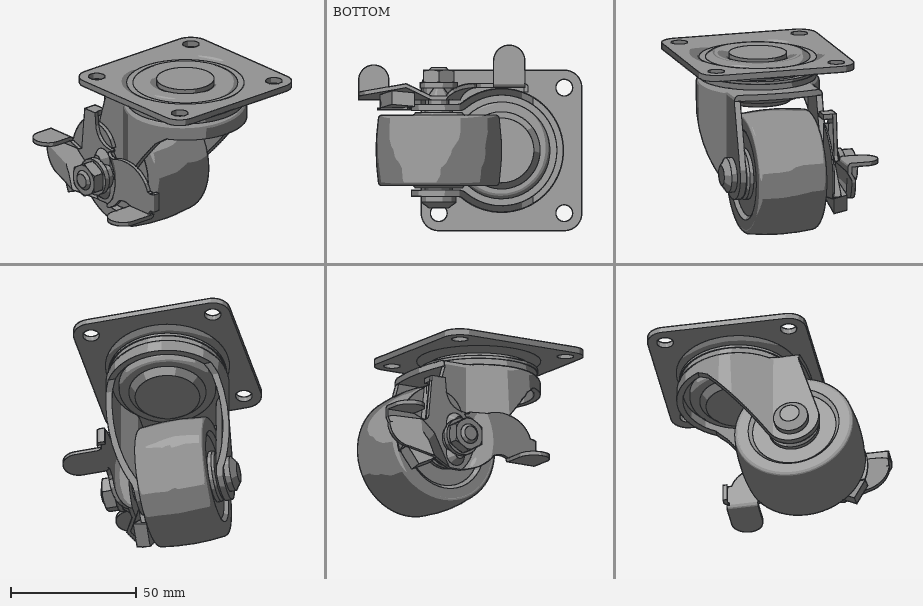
import cadquery as cq
import math


plate_size = 64.1
plate_thick = 2.5
plate_corner_r = 7.0
bolt_spacing = 50.0
bolt_hole_d = 6.6
dish_outer_r = 27.2
dish_floor_r = 23.4
dish_depth = 1.7
hump_foot_r = 20.9
hump_crest_outer_r = 17.2
hump_crest_inner_r = 15.9
hump_top_z = -0.3
kingpin_r = 11.5
kingpin_groove_z = -2.2
groove_bulge = (13.5, -0.8)
hump_bulge = (19.8, -0.7)
dish_bulge = (24.9, -0.5)
dish_underside_bulge = (22.9, -3.7)
upper_race_r = 21.4
upper_race_neck_r = 20.0
upper_race_neck_z = -4.3
upper_race_edge_z = -5.6
lower_race_r = 19.3
lower_race_bottom_z = -16.6
lower_race_round_r = 2.1
kingpin_foot_r = 15.4
kingpin_end_r = 12.9
kingpin_end_z = -19.3

wheel_r = 25.0
overall_height = 68.0
axle_x = -25.0
axle_z = wheel_r - overall_height
tread_edge_r = 24.1
tread_half_width = 12.8
wheel_half_width = 14.02
rim_r = 22.5
web_recess_outer_r = 18.4
web_recess_inner_r = 16.9
web_recess_depth = 1.5
hub_r = 10.2
hub_chamfer = 1.0
hub_half_width = 15.0
bushing_r = 5.5
axle_r = 4.0
axle_end_y = -33.1
axle_end_chamfer = 1.2
head_r = 6.9
head_rim = 2.3
head_cone = 2.2
head_end_r = 3.9

leg_inner_y = 15.8
sheet = 2.5
leg_outer_y = leg_inner_y + sheet
fork_top_z = -9.8
skirt_r = 24.6
skirt_bottom_z = -16.3
skirt_blend_r = 4.0
shoulder_r = 2.1
drum_r = 23.2
drum_rim_r = 23.6
drum_rim_bottom_z = -7.4
drum_top_z = -6.2
fork_nose_x = -29.9
fork_nose_corner_x = -27.7
leg_end_r = 10.95
leg_end_z = -42.0
leg_slant_x = 8.3
leg_slant_z = -19.1
skirt_cut_x = 12.5

lever_thick = 1.6
lever_back_y = -20.1
bend_r = 1.5
lever_left_x = plate_size / 2 - 89
raised_back_y = -25.0
joggle_x = -32.0
joggle_inner_r = 15.7
joggle_mid_r = 18.0
joggle_mid_y = -23.4
joggle_outer_r = 22.0
joggle_reach = 44.5
joggle_start_x = -29.4
flat_corner_x = -19.6
flat_corner_z = -32.0
release_pedal_left_x = -3.2
release_pedal_width = 12.55
release_pedal_top_z = -48.7
release_pedal_end_y = plate_size / 2 - 74.0
brake_pedal_width = 12.1
brake_pedal_top_z = -33.55
brake_pedal_end_y = -34.1
hook_left_x = -36.0
hook_right_x = -30.35
hook_top_z = -18.2
hook_end_y = -16.2
stop_left_x = 9.0
stop_top_z = -39.8
stop_bottom_z = -47.2
stop_depth = 3.4
boss_length = 21.5
boss_width = 8.4
boss_taper = 35
boss_height = 3.1
boss_core_r = 6.2
bulge_taper = 58
bulge_face_x = -41.6
bulge_face_y = -26.0
bulge_turn = 10
bulge_round_r = 4.45
bulge_ridge_min_rise = 1.8

shield_inner_y = -16.2
shield_right_x = -36.5
shield_r = 24.3
shield_thick = 0.6
tail_thick = 5.5
tail_top_z = -46.2
tail_tilt = 11

washer_r = 7.5
washer_thick = 2.1
nut_flats = 12.2
nut_height = 5.0
nut_corner_chamfer = 0.7

boss_top_y = lever_back_y - lever_thick - boss_height
washer_front_y = boss_top_y - washer_thick
nut_front_y = washer_front_y - nut_height


def on_xz(y, x=0.0, z=0.0):
    """Sketch plane facing -Y, at the given Y; extrusions go toward -Y."""
    return cq.Workplane("XZ", origin=(x, y, z))


def turned_on_axle(profile_points):
    """Solid of revolution about the axle; the points are (radius, Y)."""
    profile = cq.Workplane("XY", origin=(axle_x, 0, axle_z)).polyline(profile_points).close()
    return profile.revolve(360, (0, 0), (0, 1))


def make_plate():
    square = (
        cq.Workplane("XY")
        .rect(plate_size, plate_size)
        .extrude(-plate_thick)
        .edges("|Z")
        .fillet(plate_corner_r)
    )
    square = square.cut(cq.Workplane("XY").circle(dish_outer_r).extrude(-plate_thick))
    centre = (
        cq.Workplane("XZ")
        .lineTo(kingpin_r, 0)
        .lineTo(kingpin_r, kingpin_groove_z)
        .threePointArc(groove_bulge, (hump_crest_inner_r, hump_top_z))
        .lineTo(hump_crest_outer_r, hump_top_z)
        .threePointArc(hump_bulge, (hump_foot_r, -dish_depth))
        .lineTo(dish_floor_r, -dish_depth)
        .threePointArc(dish_bulge, (dish_outer_r, 0))
        .lineTo(dish_outer_r, -plate_thick)
        .lineTo(dish_outer_r - plate_thick, -plate_thick)
        .threePointArc(dish_underside_bulge, (upper_race_neck_r, upper_race_neck_z))
        .lineTo(upper_race_r, upper_race_edge_z)
        .lineTo(upper_race_r, drum_top_z)
        .lineTo(kingpin_r, drum_top_z)
        .lineTo(kingpin_r, fork_top_z - sheet)
        .lineTo(lower_race_r, fork_top_z - sheet)
        .lineTo(lower_race_r, lower_race_bottom_z + lower_race_round_r)
        .radiusArc((lower_race_r - lower_race_round_r, lower_race_bottom_z), lower_race_round_r)
        .lineTo(kingpin_foot_r, lower_race_bottom_z)
        .lineTo(kingpin_end_r, kingpin_end_z)
        .lineTo(0, kingpin_end_z)
        .close()
        .revolve(360, (0, 0), (0, 1))
    )
    bolt_holes = (
        cq.Workplane("XY").rect(bolt_spacing, bolt_spacing, forConstruction=True).vertices()
        .circle(bolt_hole_d / 2).extrude(-plate_thick)
    )
    return square.union(centre).cut(bolt_holes)


def tangent_point(x, z, side):
    """Point where a line from (x, z) touches the round leg end; side is +1 or -1."""
    dx = x - axle_x
    dz = z - leg_end_z
    angle = math.atan2(dz, dx) + side * math.acos(leg_end_r / math.hypot(dx, dz))
    return axle_x + leg_end_r * math.cos(angle), leg_end_z + leg_end_r * math.sin(angle)


def fork_plan(inset, height):
    """Round skirt joined to the straight legs, seen from above and shrunk by the inset."""
    skirt = cq.Workplane("XY").circle(skirt_r - inset).extrude(-height)
    half_y = leg_outer_y - inset
    legs = cq.Workplane("XY").moveTo(-26.7, 0).rect(53.4, 2 * half_y).extrude(-height)
    corner_x = -math.sqrt((skirt_r - inset) ** 2 - half_y**2)
    plan = skirt.union(legs)
    corners = cq.selectors.BoxSelector((corner_x - 0.9, -26.7, -height), (corner_x + 0.9, 26.7, 0))
    return plan.edges("|Z").edges(corners).fillet(skirt_blend_r).translate((0, 0, fork_top_z))


def make_fork():
    side_depth = 53.4
    side = (
        on_xz(side_depth / 2)
        .moveTo(fork_nose_x, fork_top_z)
        .lineTo(fork_nose_x, fork_top_z - sheet)
        .lineTo(fork_nose_corner_x, fork_top_z - sheet)
        .lineTo(*tangent_point(fork_nose_corner_x, fork_top_z - sheet, 1))
        .threePointArc((axle_x, leg_end_z - leg_end_r), tangent_point(leg_slant_x, leg_slant_z, -1))
        .lineTo(leg_slant_x, leg_slant_z)
        .lineTo(skirt_cut_x, skirt_bottom_z)
        .lineTo(skirt_r, skirt_bottom_z)
        .lineTo(skirt_r, fork_top_z)
        .close()
        .extrude(side_depth)
    )
    depth = 53.4
    nose = (
        cq.Workplane("XY")
        .moveTo(fork_nose_corner_x, leg_outer_y)
        .threePointArc((fork_nose_x, 0), (fork_nose_corner_x, -leg_outer_y))
        .lineTo(skirt_r, -leg_outer_y)
        .lineTo(skirt_r, leg_outer_y)
        .close()
        .extrude(fork_top_z - sheet)
    )
    below_nose = cq.Workplane("XY", origin=(0, 0, fork_top_z - sheet)).rect(178, 178).extrude(-depth)
    behind_nose = cq.Workplane("XY").moveTo(skirt_r - 25.8, 0).rect(53.4, 178).extrude(-depth)
    fork = fork_plan(0, depth).faces(">Z").edges().fillet(shoulder_r)
    fork = fork.intersect(side).intersect(nose.union(below_nose).union(behind_nose))
    fork = fork.cut(fork_plan(sheet, depth).translate((0, 0, -sheet)))
    drum = cq.Workplane("XY", origin=(0, 0, fork_top_z)).circle(drum_r).extrude(drum_top_z - fork_top_z)
    rim = (
        cq.Workplane("XY", origin=(0, 0, drum_rim_bottom_z))
        .circle(drum_rim_r)
        .extrude(drum_top_z - drum_rim_bottom_z)
    )
    kingpin_hole = cq.Workplane("XY").circle(kingpin_r).extrude(fork_top_z - sheet)
    axle_hole = on_xz(side_depth / 2, axle_x, axle_z).circle(axle_r).extrude(side_depth)
    return fork.union(drum).union(rim).cut(kingpin_hole).cut(axle_hole)


def make_wheel():
    recess_y = wheel_half_width - web_recess_depth
    rim_half = [
        (bushing_r, leg_inner_y),
        (bushing_r, hub_half_width),
        (hub_r - hub_chamfer, hub_half_width),
        (hub_r, hub_half_width - hub_chamfer),
        (hub_r, recess_y),
        (web_recess_inner_r, recess_y),
        (web_recess_outer_r, wheel_half_width),
        (rim_r, wheel_half_width),
    ]
    profile = cq.Workplane("XY", origin=(axle_x, 0, axle_z)).moveTo(axle_r, -leg_inner_y)
    profile = profile.lineTo(axle_r, leg_inner_y)
    for radius, y in rim_half:
        profile = profile.lineTo(radius, y)
    shoulder_mid_r = (rim_r + tread_edge_r) / 2 + 0.4
    shoulder_mid_y = (wheel_half_width + tread_half_width) / 2 + 0.3
    profile = (
        profile.threePointArc((shoulder_mid_r, shoulder_mid_y), (tread_edge_r, tread_half_width))
        .threePointArc((wheel_r, 0), (tread_edge_r, -tread_half_width))
        .threePointArc((shoulder_mid_r, -shoulder_mid_y), (rim_r, -wheel_half_width))
    )
    for radius, y in reversed(rim_half[:-1]):
        profile = profile.lineTo(radius, -y)
    return profile.close().revolve(360, (0, 0), (0, 1))


def make_axle():
    head_y = leg_outer_y + head_rim
    return turned_on_axle([
        (0, axle_end_y),
        (axle_r - axle_end_chamfer, axle_end_y),
        (axle_r, axle_end_y + axle_end_chamfer),
        (axle_r, leg_outer_y),
        (head_r, leg_outer_y),
        (head_r, head_y),
        (head_end_r, head_y + head_cone),
        (0, head_y + head_cone),
    ])


def make_nut():
    corner_r = nut_flats / math.sqrt(3)
    hexagon = (
        on_xz(washer_front_y, axle_x, axle_z)
        .polygon(6, 2 * corner_r)
        .extrude(nut_height)
        .rotate((axle_x, 0, axle_z), (axle_x, 1, axle_z), 30)
    )
    corner_rounding = turned_on_axle([
        (0, washer_front_y),
        (corner_r - nut_corner_chamfer, washer_front_y),
        (corner_r, washer_front_y - nut_corner_chamfer / 2),
        (corner_r, nut_front_y + nut_corner_chamfer / 2),
        (corner_r - nut_corner_chamfer, nut_front_y),
        (0, nut_front_y),
    ])
    washer = on_xz(boss_top_y, axle_x, axle_z).circle(washer_r).extrude(washer_thick)
    bore = on_xz(boss_top_y, axle_x, axle_z).circle(axle_r).extrude(washer_thick + nut_height)
    return hexagon.intersect(corner_rounding).union(washer).cut(bore)


def pedal(left_x, width, top_z, back_y, end_y, bend_side):
    """Flat tongue toward -Y with a round end and a bend at its top (">Z") or bottom ("<Z") back edge."""
    radius = width / 2
    centre_x = left_x + radius
    return (
        cq.Workplane("XY", origin=(0, 0, top_z))
        .moveTo(left_x, back_y)
        .lineTo(left_x, end_y + radius)
        .threePointArc((centre_x, end_y), (left_x + width, end_y + radius))
        .lineTo(left_x + width, back_y)
        .close()
        .extrude(-lever_thick)
        .edges(f"|X and >Y and {bend_side}")
        .fillet(bend_r)
    )


def lever_outline():
    """Lever seen along Y, as a thick block from its back face outward."""
    return (
        on_xz(lever_back_y)
        .moveTo(hook_left_x, hook_top_z)
        .lineTo(-29.8, hook_top_z)
        .lineTo(-29.3, -23.9)
        .threePointArc((-27.0, -28.65), (-22.5, -31.1))
        .lineTo(-17.8, -31.8)
        .lineTo(-13.1, -31.8)
        .spline([(-4.45, -30.7), (2.4, -33.1), (7.4, -39.3)], includeCurrent=True)
        .lineTo(stop_left_x, -39.5)
        .lineTo(stop_left_x, stop_bottom_z)
        .lineTo(8.3, -47.8)
        .lineTo(8.3, release_pedal_top_z)
        .lineTo(release_pedal_left_x, release_pedal_top_z)
        .threePointArc((-6.85, -47.8), (-10.1, -48.8))
        .threePointArc((-14.7, -52.95), (-21.4, -55.1))
        .lineTo(-27.0, -55.1)
        .lineTo(-34.4, -53.6)
        .lineTo(-48.3, -49.9)
        .threePointArc((-54.3, -47.1), (lever_left_x, -41.7))
        .lineTo(lever_left_x, brake_pedal_top_z - lever_thick)
        .lineTo(lever_left_x + brake_pedal_width, brake_pedal_top_z - lever_thick)
        .lineTo(-40.05, -36.8)
        .threePointArc((-38.3, -36.2), (-37.6, -34.6))
        .close()
        .extrude(8.9)
    )


def lever_sheet():
    """Flat sheet near the wheel's front edge, stepped outward by a rounded joggle behind the axle."""
    lever_front_y = lever_back_y - lever_thick
    raised_front_y = raised_back_y - lever_thick
    flat = cq.Workplane("XY").box(53.4, lever_thick, 71.2).translate(
        (joggle_start_x - 26.7, lever_back_y - lever_thick / 2, axle_z))
    upper = cq.Workplane("XY").box(17.8, lever_thick, 17.8).translate(
        (flat_corner_x - 8.9, lever_back_y - lever_thick / 2, flat_corner_z + 8.9))
    stepped = (
        cq.Workplane("XY", origin=(joggle_x, 0, axle_z))
        .moveTo(0, lever_back_y)
        .lineTo(joggle_inner_r, lever_back_y)
        .threePointArc((joggle_mid_r, joggle_mid_y), (joggle_outer_r, raised_back_y))
        .lineTo(joggle_reach, raised_back_y)
        .lineTo(joggle_reach, raised_front_y)
        .lineTo(joggle_outer_r, raised_front_y)
        .threePointArc((joggle_mid_r, joggle_mid_y - lever_thick), (joggle_inner_r, lever_front_y))
        .lineTo(0, lever_front_y)
        .close()
        .revolve(360, (0, 0), (0, 1))
        .intersect(cq.Workplane("XY").box(71.2, 71.2, 142.4).translate((joggle_start_x + 35.6, -26.7, axle_z)))
    )
    above_joggle = cq.Workplane("XY").box(17.8, 71.2, 17.8).translate((flat_corner_x - 8.9, -26.7, flat_corner_z + 8.9))
    return stepped.cut(above_joggle).union(upper).union(flat)


def lever_bulge():
    """Tapered bulge with a slanted front face, left open at the lower edge of the lever."""
    depth = 8.0
    body = (
        on_xz(lever_back_y - lever_thick)
        .polyline([
            (-66.7, -40.9),
            (-54.55, -37.4),
            (-40.7, -36.9),
            (-35.0, -41.7),
            (-27.6, -55.6),
            (-27.6, -75.6),
            (-66.7, -75.6),
        ])
        .close()
        .extrude(depth, taper=bulge_taper)
    )
    behind_face = (
        cq.Workplane("XY")
        .box(89, 35.6, 89)
        .translate((bulge_face_x, bulge_face_y + 17.8, axle_z))
        .rotate((bulge_face_x, bulge_face_y, 0), (bulge_face_x, bulge_face_y, 1), -bulge_turn)
    )
    bulge = body.intersect(behind_face)
    upper_slopes = cq.selectors.BoxSelector((-58.7, -35.6, -46.3), (-32, lever_back_y - lever_thick - 0.1, -36.5))
    ridges = bulge.edges(upper_slopes).filter(lambda edge: edge.BoundingBox().ylen > bulge_ridge_min_rise)
    return ridges.fillet(bulge_round_r)


def make_lever():
    outline = lever_outline()
    bulge = lever_bulge()
    lever = lever_sheet().union(bulge).intersect(outline)
    lever = lever.cut(bulge.translate((0, lever_thick, 0)))
    hook = (
        on_xz(hook_end_y)
        .moveTo(hook_left_x, hook_top_z)
        .rect(hook_right_x - hook_left_x, -2.05, centered=False)
        .extrude(hook_end_y - lever_back_y + lever_thick)
        .edges("|X and >Z and <Y")
        .fillet(bend_r)
    )
    stop = (
        on_xz(raised_back_y - lever_thick + stop_depth)
        .moveTo(stop_left_x, stop_bottom_z)
        .rect(lever_thick, stop_top_z - stop_bottom_z, centered=False)
        .extrude(stop_depth)
        .edges("|Z and >X and <Y")
        .fillet(bend_r)
    )
    brake_pedal = pedal(
        lever_left_x, brake_pedal_width, brake_pedal_top_z, lever_back_y, brake_pedal_end_y, ">Z")
    release_pedal = pedal(
        release_pedal_left_x, release_pedal_width, release_pedal_top_z, raised_back_y, release_pedal_end_y,
        "<Z")
    boss = (
        on_xz(lever_back_y - lever_thick, axle_x, axle_z)
        .slot2D(boss_length, boss_width, 90)
        .extrude(boss_height, taper=boss_taper)
    )
    boss_core = on_xz(lever_back_y, axle_x, axle_z).circle(boss_core_r).extrude(lever_thick + boss_height)
    bore = on_xz(lever_back_y, axle_x, axle_z).circle(axle_r).extrude(lever_thick + boss_height)
    for feature in (hook, stop, brake_pedal, release_pedal, boss, boss_core):
        lever = lever.union(feature)
    return lever.cut(bore)


def make_brake_plate():
    shield = (
        on_xz(shield_inner_y)
        .moveTo(shield_right_x, -22.25)
        .lineTo(shield_right_x, -51.6)
        .lineTo(-48.3, -49.9)
        .threePointArc((axle_x - shield_r, axle_z + 1.8), (shield_right_x, -22.25))
        .close()
        .extrude(shield_thick)
    )
    backing = (
        on_xz(shield_inner_y)
        .moveTo(-36.6, -21.8)
        .lineTo(-29.3, -23.6)
        .threePointArc((-24.3, -26.2), (-21.1, -31.15))
        .lineTo(-30.3, -39.2)
        .lineTo(-32.0, -46.3)
        .lineTo(-37.4, -51.6)
        .lineTo(-48.05, -49.4)
        .lineTo(-38.3, -36.5)
        .close()
        .extrude(shield_inner_y - lever_back_y)
    )
    beside_leg = cq.Workplane("XY").box(35.6, 2 * leg_outer_y, 89).translate((shield_right_x + 17.8, 0, axle_z))
    backing = backing.cut(beside_leg)
    tail = (
        on_xz(shield_inner_y)
        .polyline([(-48.3, -49.9), (-43.6, -57.5), (-34.6, -53.2), (-39.6, -46.7)])
        .close()
        .extrude(tail_thick)
        .rotate((0, shield_inner_y, tail_top_z), (1, shield_inner_y, tail_top_z), -tail_tilt)
    )
    return shield.union(backing).union(tail)


plate = make_plate()
fork = make_fork()
wheel = make_wheel()
axle = make_axle()
nut = make_nut()
lever = make_lever()
brake_plate = make_brake_plate()

result = cq.Compound.makeCompound([
    plate.val(),
    fork.val(),
    wheel.val(),
    axle.val(),
    nut.val(),
    lever.val(),
    brake_plate.val(),
])